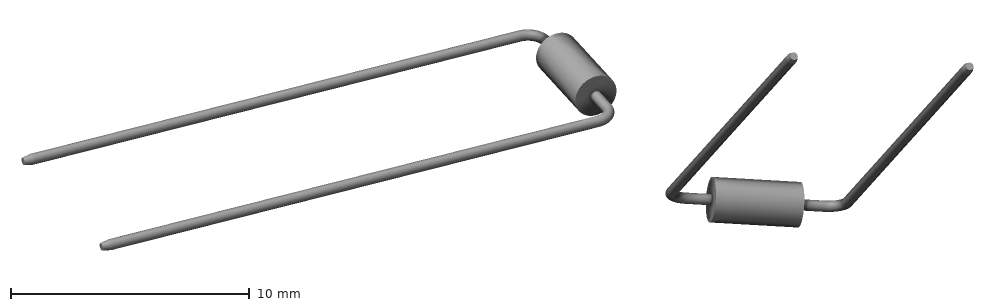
import cadquery as cq
import math

overall_length = 24.83
overall_width = 8.02

housing_diameter = 1.9
housing_length = 3.8
band_offset = 0.6
band_width = 0.22
band_thickness = 0.1

wire_diameter = 0.47
bend_radius = 0.82
tip_length = 0.4
tip_end_diameter = 0.32

housing_radius = housing_diameter / 2
housing_end = housing_length / 2
wire_radius = wire_diameter / 2
leg_x = overall_width / 2 - wire_radius
bend_start_x = leg_x - bend_radius
tip_end_y = housing_radius - overall_length
tip_start_y = tip_end_y + tip_length


def make_band():
    """Ring that fills the groove of the housing."""
    return (
        cq.Workplane("YZ", origin=(-housing_end + band_offset, 0, 0))
        .circle(housing_radius)
        .circle(housing_radius - band_thickness)
        .extrude(band_width)
    )


def make_housing(band):
    """Cylinder with a groove that seats the band."""
    cylinder = cq.Workplane("YZ", origin=(-housing_end, 0, 0)).circle(housing_radius).extrude(housing_length)
    return cylinder.cut(band)


def make_lead(side):
    """Bent wire with a tapered tip; side is -1 for the -X lead and +1 for the +X lead."""
    bend_middle = bend_radius * math.sqrt(0.5)
    path = (
        cq.Workplane("XY")
        .moveTo(side * housing_end, 0)
        .lineTo(side * bend_start_x, 0)
        .threePointArc(
            (side * (bend_start_x + bend_middle), bend_middle - bend_radius),
            (side * leg_x, -bend_radius),
        )
        .lineTo(side * leg_x, tip_start_y)
    )
    wire = cq.Workplane("YZ", origin=(side * housing_end, 0, 0)).circle(wire_radius).sweep(path)
    tip = cq.Workplane(
        cq.Solid.makeCone(
            wire_radius,
            tip_end_diameter / 2,
            tip_length,
            cq.Vector(side * leg_x, tip_start_y, 0),
            cq.Vector(0, -1, 0),
        )
    )
    return wire.union(tip)


band = make_band()
housing = make_housing(band)
leads = [make_lead(side) for side in (-1, 1)]

result = cq.Compound.makeCompound([housing.val(), band.val(), *[lead.val() for lead in leads]])